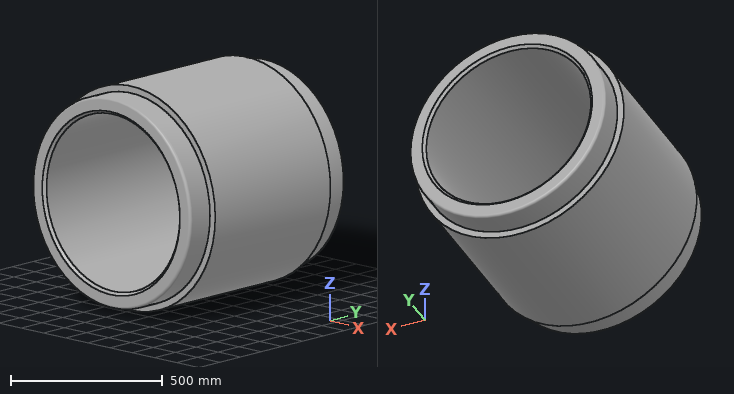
import cadquery as cq

length = 745.0
collar_diameter = 760.0
collar_length = 555.0
tube_diameter = 713.0
bore_diameter = 600.0

rim_fillet = 10.0
bore_chamfer = 10.0


def cylinder(diameter, cylinder_length):
    """Solid cylinder along Y, centred on the origin."""
    end_plane = cq.Workplane("XZ", origin=(0, cylinder_length / 2, 0))
    return end_plane.circle(diameter / 2).extrude(cylinder_length)


def tube():
    """Plain tube with rounded outer rims and a chamfered mouth at both ends."""
    rounded = cylinder(tube_diameter, length).faces("<Y or >Y").edges().fillet(rim_fillet)
    bored = rounded.cut(cylinder(bore_diameter, length))
    mouth_edges = bored.faces("<Y or >Y").edges(cq.selectors.RadiusNthSelector(0))
    return mouth_edges.chamfer(bore_chamfer)


def collar():
    """Wider ring around the middle of the tube."""
    return cylinder(collar_diameter, collar_length).cut(cylinder(bore_diameter, collar_length))


result = tube().union(collar())